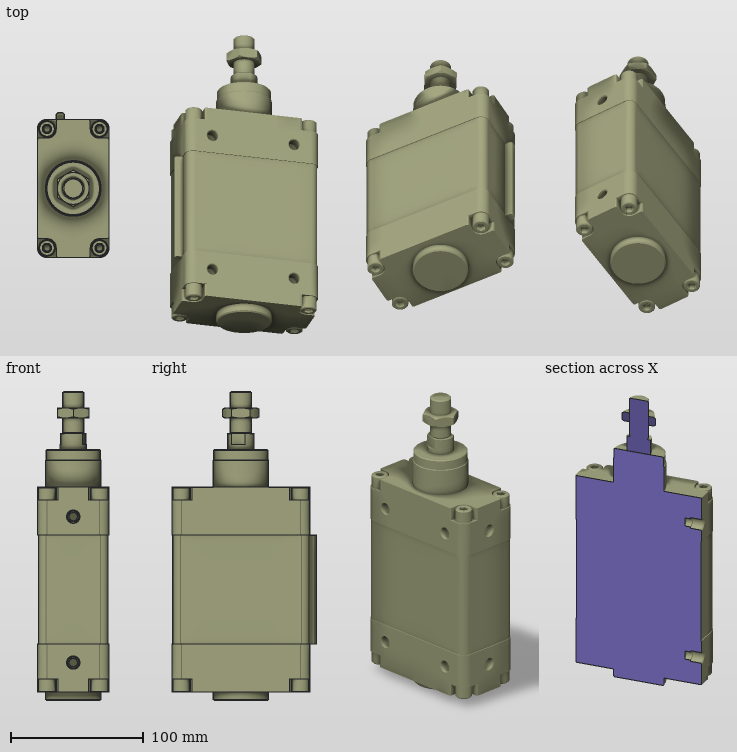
import cadquery as cq
import math

total_height = 233.0
cap_width = 54.0
cap_depth = 104.2
cap_height = 36.3
cap_corner_radius = 7.2

tube_length = 82.0
tube_inset = 0.7
tube_corner_radius = 5.8

rail_overhang = 5.1
rail_width = 6.3
rail_center_x = -9.8
rail_edge_chamfer = 1.5

collar_diameter = 42.0
rear_collar_height = 6.3
rear_collar_chamfer = 1.0
front_collar_height = 20.5
front_collar_chamfer = 0.5
ring_diameter = 41.0
ring_height = 7.7
ring_chamfer = 0.7

recess_depth = 9.8
recess_radius = 7.0
recess_bevel_width = 1.2
recess_bevel_depth = 0.58
screw_inset = 7.2
screw_head_diameter = 12.5
screw_head_chamfer = 0.7
socket_across_flats = 6.0
socket_depth = 4.7
socket_drill_diameter = 5.0

hole_from_tube = 14.0
side_hole_y = 32.0
side_hole_diameter = 8.5
side_hole_mouth = 9.5
side_hole_depth = 9.3
drill_point_angle = 118.0

port_mouth = 10.0
port_diameter = 8.5
port_depth = 9.3
port_passage_diameter = 6.3
port_passage_depth = 14.0

thread_diameter = 16.0
thread_chamfer = 1.0
rod_diameter = 20.0
rod_shoulder_z = 201.3
flat_height = 8.2
flat_distance = 17.0
flat_angle = -14.0

nut_across_flats = 24.0
nut_height = 7.7
nut_bottom_z = 213.0
nut_chamfer_angle = 30.0

rear_cap_z = rear_collar_height
tube_z = rear_cap_z + cap_height
front_cap_z = tube_z + tube_length
front_cap_top = front_cap_z + cap_height
collar_top = front_cap_top + front_collar_height
rod_start_z = collar_top + ring_height
screw_x = cap_width / 2 - screw_inset
screw_y = cap_depth / 2 - screw_inset
hex_ratio = 2 / math.sqrt(3)
point_ratio = 1 / math.tan(math.radians(drill_point_angle / 2))


def rounded_block(width, depth, height, radius):
    return cq.Workplane("XY").rect(width, depth).extrude(height).edges("|Z").fillet(radius)


def hexagon(across_flats, height):
    """Hexagonal prism from Z = 0 with flats facing +X and -X."""
    prism = cq.Workplane("XY").polygon(6, across_flats * hex_ratio).extrude(height)
    return prism.rotate((0, 0, 0), (0, 0, 1), 30)


def bore(diameter, depth):
    """Flat-bottomed hole going down from the origin."""
    return cq.Workplane("XY").circle(diameter / 2).extrude(-depth)


def drill(diameter, depth):
    """Hole going down from the origin and ending in a drill point."""
    radius = diameter / 2
    down = cq.Vector(0, 0, -1)
    point = cq.Solid.makeCone(radius, 0, radius * point_ratio, cq.Vector(0, 0, -depth), down)
    return bore(diameter, depth).union(cq.Workplane(point))


def mouth_chamfer(diameter, mouth):
    """45 degree chamfer that widens a hole to the mouth diameter at the origin."""
    height = (mouth - diameter) / 2
    return cq.Workplane(
        cq.Solid.makeCone(mouth / 2, diameter / 2, height, cq.Vector(0, 0, 0), cq.Vector(0, 0, -1))
    )


def recess_cutter():
    """Corner recess around a screw head at +X +Y, open and bevelled at both outer sides."""
    wall = -recess_radius
    bevel_start = screw_inset - recess_bevel_depth
    bevel_end = wall - recess_bevel_width
    arc_middle = wall / math.sqrt(2)
    block = (
        cq.Workplane("XY")
        .moveTo(bevel_end, screw_inset)
        .lineTo(wall, bevel_start)
        .lineTo(wall, 0)
        .threePointArc((arc_middle, arc_middle), (0, wall))
        .lineTo(bevel_start, wall)
        .lineTo(screw_inset, bevel_end)
        .lineTo(screw_inset, screw_inset)
        .close()
        .extrude(recess_depth)
    )
    return block.translate((screw_x, screw_y, cap_height - recess_depth))


def screw_head():
    head = cq.Workplane("XY").circle(screw_head_diameter / 2).extrude(recess_depth)
    head = head.faces(">Z").chamfer(screw_head_chamfer)
    socket_corners = socket_across_flats * hex_ratio
    socket = (
        hexagon(socket_across_flats, -socket_depth)
        .union(mouth_chamfer(socket_across_flats, socket_corners))
        .union(drill(socket_drill_diameter, socket_depth))
    )
    head = head.cut(socket.translate((0, 0, recess_depth)))
    return head.translate((screw_x, screw_y, cap_height - recess_depth))


def four_corners(shape):
    """The shape at +X +Y and its mirror images at the other three corners."""
    pair = [shape, shape.mirror("YZ")]
    return pair + [item.mirror("XZ") for item in pair]


def end_cap():
    """Cap with its inner face on Z = 0 and its screw heads at the top."""
    cap = rounded_block(cap_width, cap_depth, cap_height, cap_corner_radius)
    for cutter in four_corners(recess_cutter()):
        cap = cap.cut(cutter)
    for head in four_corners(screw_head()):
        cap = cap.union(head)

    side_hole = drill(side_hole_diameter, side_hole_depth)
    side_hole = side_hole.union(mouth_chamfer(side_hole_diameter, side_hole_mouth))
    side_hole = side_hole.rotate((0, 0, 0), (0, 1, 0), -90)
    for y in (-side_hole_y, side_hole_y):
        cap = cap.cut(side_hole.translate((-cap_width / 2, y, hole_from_tube)))

    port = (
        bore(port_diameter, port_depth)
        .union(mouth_chamfer(port_diameter, port_mouth))
        .union(bore(port_passage_diameter, port_passage_depth))
        .rotate((0, 0, 0), (1, 0, 0), 90)
    )
    return cap.cut(port.translate((0, -cap_depth / 2, hole_from_tube)))


def tube():
    body = rounded_block(
        cap_width - 2 * tube_inset, cap_depth - 2 * tube_inset, tube_length, tube_corner_radius
    )
    rail_depth = cap_depth / 2 + rail_overhang - screw_y
    rail = (
        cq.Workplane("XY")
        .rect(rail_width, rail_depth)
        .extrude(tube_length)
        .edges("|Z and >Y")
        .chamfer(rail_edge_chamfer)
        .translate((rail_center_x, screw_y + rail_depth / 2, 0))
    )
    return body.union(rail)


def collar(diameter, height, chamfer):
    return cq.Workplane("XY").circle(diameter / 2).extrude(height).faces(">Z").chamfer(chamfer)


def make_housing():
    cap = end_cap()
    rear_collar = collar(collar_diameter, rear_collar_height, rear_collar_chamfer).mirror("XY")
    front_collar = collar(collar_diameter, front_collar_height, front_collar_chamfer)
    ring = collar(ring_diameter, ring_height, ring_chamfer)
    return (
        tube()
        .translate((0, 0, tube_z))
        .union(cap.translate((0, 0, front_cap_z)))
        .union(cap.mirror("XY").translate((0, 0, tube_z)))
        .union(rear_collar.translate((0, 0, rear_cap_z)))
        .union(front_collar.translate((0, 0, front_cap_top)))
        .union(ring.translate((0, 0, collar_top)))
    )


def make_rod():
    shank = (
        cq.Workplane("XY", origin=(0, 0, rod_start_z))
        .circle(rod_diameter / 2)
        .extrude(rod_shoulder_z - rod_start_z)
    )
    for turn in (flat_angle, flat_angle + 180):
        flat = (
            cq.Workplane("XY")
            .box(rod_diameter, rod_diameter, flat_height, centered=(False, True, False))
            .translate((flat_distance / 2, 0, rod_shoulder_z - flat_height))
            .rotate((0, 0, 0), (0, 0, 1), turn)
        )
        shank = shank.cut(flat)
    thread = (
        cq.Workplane("XY", origin=(0, 0, rod_shoulder_z))
        .circle(thread_diameter / 2)
        .extrude(total_height - rod_shoulder_z)
        .edges("%CIRCLE")
        .chamfer(thread_chamfer)
    )
    return shank.union(thread)


def make_nut():
    flat_radius = nut_across_flats / 2
    corner_radius = flat_radius * hex_ratio
    bevel = (corner_radius - flat_radius) * math.tan(math.radians(nut_chamfer_angle))
    envelope = (
        cq.Workplane("XZ")
        .lineTo(flat_radius, 0)
        .lineTo(corner_radius, bevel)
        .lineTo(corner_radius, nut_height - bevel)
        .lineTo(flat_radius, nut_height)
        .lineTo(0, nut_height)
        .close()
        .revolve(360, (0, 0, 0), (0, 1, 0))
    )
    hole = cq.Workplane("XY").circle(thread_diameter / 2).extrude(nut_height)
    blank = hexagon(nut_across_flats, nut_height)
    return blank.intersect(envelope).cut(hole).translate((0, 0, nut_bottom_z))


housing = make_housing()
rod = make_rod()
nut = make_nut()
result = cq.Compound.makeCompound([housing.val(), rod.val(), nut.val()])